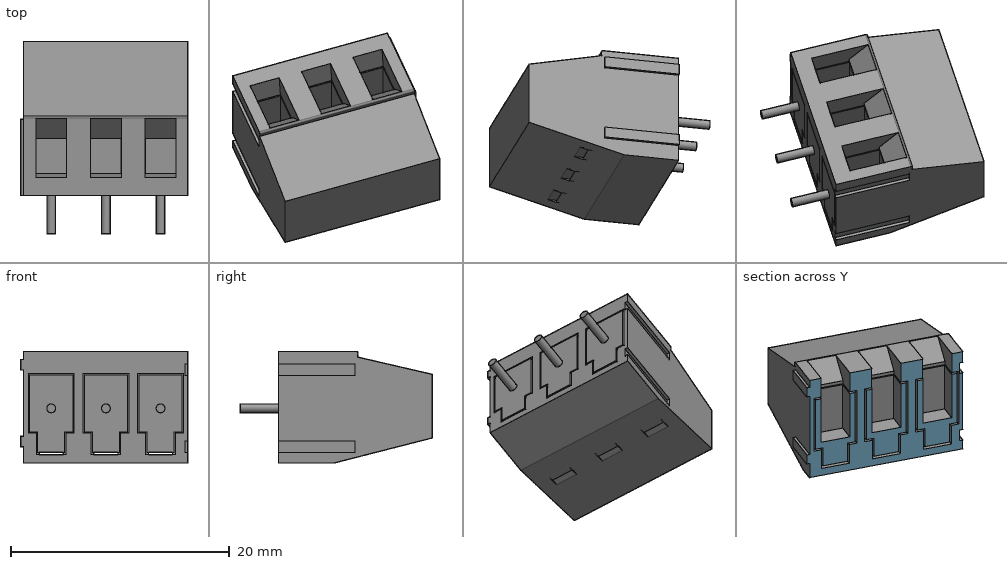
import cadquery as cq


WIDTH = 15.03
DEPTH = 14.1
OVERALL_DEPTH = 17.6
HEIGHT = 10.2
STEP_TOP_Y = 7.32
STEP_FOOT_Y = 7.25
STEP_EDGE_RADIUS = 0.18
STEP_FOOT_Z = 9.7
BACK_TOP_Z = 8.11
BACK_BOTTOM_Z = 2.29
UNDERSIDE_TAPER_Y = 5.14

POLE_COUNT = 3
PITCH = 5.0
POLE_CENTER_X = 7.53
POLE_XS = [POLE_CENTER_X + (i - (POLE_COUNT - 1) / 2) * PITCH for i in range(POLE_COUNT)]

JOINT_LENGTH = 7.0
RIB_PROJECTION = 0.26
RIB_HEIGHT = 0.99
RIB_BOTTOMS = (1.48, 8.5)
GROOVE_DEPTH = 0.28
GROOVE_HEIGHT = 1.05
GROOVE_BOTTOMS = (0.97, 7.99)

POCKET_DEPTH = 7.04
POCKET_WIDTH = 4.19
POCKET_STEM_WIDTH = 2.71
POCKET_TOP_Z = 8.18
POCKET_SHOULDER_Z = 2.73
POCKET_BOTTOM_Z = 0.77
CLEARANCE = 0.12
FOOT_CLEARANCE = 0.2
CONTACT_WIDTH = POCKET_WIDTH - 2 * CLEARANCE
CONTACT_STEM_WIDTH = POCKET_STEM_WIDTH - 2 * CLEARANCE
CONTACT_TOP_Z = POCKET_TOP_Z - CLEARANCE
CONTACT_SHOULDER_Z = POCKET_SHOULDER_Z + CLEARANCE
CONTACT_BOTTOM_Z = POCKET_BOTTOM_Z + FOOT_CLEARANCE

SLIT_WIDTH = 2.18

ENTRY_WIDTH = 2.82
ENTRY_FRONT_Y = 1.67
ENTRY_BACK_Y = 7.04
ENTRY_THROAT_Z = 8.5
THROAT_FRONT_Y = 2.0
THROAT_BACK_Y = 5.21

HOLE_WIDTH = 2.78
HOLE_FRONT_Y = 2.05
HOLE_BACK_Y = 5.26
HOLE_FLOOR_Z = 3.52

PIN_RADIUS = 0.4
PIN_Z = 5.0
PIN_LENGTH = OVERALL_DEPTH - DEPTH


def block(x_min, x_max, y_min, y_max, z_min, z_max):
    """Box given by its limits along each axis."""
    size = (x_max - x_min, y_max - y_min, z_max - z_min)
    return cq.Workplane("XY").box(*size, centered=False).translate((x_min, y_min, z_min))


def side_prism(points, x_min, x_max):
    """Outline of (Y, Z) points extruded along X."""
    return cq.Workplane("YZ").polyline(points).close().extrude(x_max - x_min).translate((x_min, 0, 0))


def tee(x, width, stem_width, top_z, shoulder_z, bottom_z):
    """T-shaped block with its stem down, running back from the front face."""
    head = block(x - width / 2, x + width / 2, 0, POCKET_DEPTH, shoulder_z, top_z)
    stem = block(x - stem_width / 2, x + stem_width / 2, 0, POCKET_DEPTH, bottom_z, shoulder_z)
    return head.union(stem)


def housing_body():
    outline = [
        (0, 0),
        (UNDERSIDE_TAPER_Y, 0),
        (DEPTH, BACK_BOTTOM_Z),
        (DEPTH, BACK_TOP_Z),
        (STEP_FOOT_Y, STEP_FOOT_Z),
        (STEP_TOP_Y, HEIGHT),
        (0, HEIGHT),
    ]
    body = side_prism(outline, 0, WIDTH)
    return body.faces(">Z").edges(">Y").fillet(STEP_EDGE_RADIUS)


def wire_entry(x):
    """Funnel from the top face down into the contact pocket."""
    outline = [
        (ENTRY_FRONT_Y, HEIGHT),
        (THROAT_FRONT_Y, POCKET_TOP_Z),
        (THROAT_BACK_Y, POCKET_TOP_Z),
        (THROAT_BACK_Y, ENTRY_THROAT_Z),
        (ENTRY_BACK_Y, HEIGHT),
    ]
    return side_prism(outline, x - ENTRY_WIDTH / 2, x + ENTRY_WIDTH / 2)


def contact(x):
    """Metal contact with its wire hole and its solder pin."""
    contact_levels = (CONTACT_TOP_Z, CONTACT_SHOULDER_Z, CONTACT_BOTTOM_Z)
    clamp = tee(x, CONTACT_WIDTH, CONTACT_STEM_WIDTH, *contact_levels)
    half_hole = HOLE_WIDTH / 2
    hole = block(x - half_hole, x + half_hole, HOLE_FRONT_Y, HOLE_BACK_Y, HOLE_FLOOR_Z, CONTACT_TOP_Z)
    pin = cq.Workplane("XZ").center(x, PIN_Z).circle(PIN_RADIUS).extrude(PIN_LENGTH)
    return clamp.cut(hole).union(pin)


result = housing_body()

for z in RIB_BOTTOMS:
    result = result.union(block(-RIB_PROJECTION, 0, 0, JOINT_LENGTH, z, z + RIB_HEIGHT))
for z in GROOVE_BOTTOMS:
    result = result.cut(block(WIDTH - GROOVE_DEPTH, WIDTH, 0, JOINT_LENGTH, z, z + GROOVE_HEIGHT))

for x in POLE_XS:
    pocket = tee(x, POCKET_WIDTH, POCKET_STEM_WIDTH, POCKET_TOP_Z, POCKET_SHOULDER_Z, POCKET_BOTTOM_Z)
    slit = block(x - SLIT_WIDTH / 2, x + SLIT_WIDTH / 2, 0, DEPTH, POCKET_BOTTOM_Z, CONTACT_BOTTOM_Z)
    result = result.cut(pocket).cut(slit).cut(wire_entry(x))
    result = result.union(contact(x))